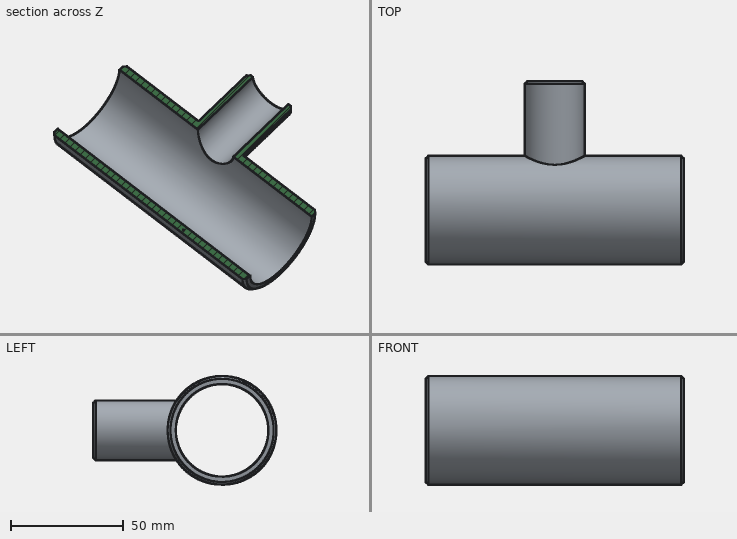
import cadquery as cq

run_length = 114.3
run_diameter = 48.26
run_bore = 40.9

branch_reach = run_length / 2
branch_diameter = 26.67
branch_bore = 20.93

bevel = 1.27


def run_cylinder(diameter):
    return cq.Workplane("YZ").circle(diameter / 2).extrude(run_length / 2, both=True)


def branch_cylinder(diameter):
    """Cylinder from the run axis out to the branch end face."""
    return cq.Workplane("XZ").circle(diameter / 2).extrude(-branch_reach)


run = run_cylinder(run_diameter).faces("<X or >X").edges().chamfer(bevel)
branch = branch_cylinder(branch_diameter).faces(">Y").edges().chamfer(bevel)

result = (
    run.union(branch)
    .cut(run_cylinder(run_bore))
    .cut(branch_cylinder(branch_bore))
)